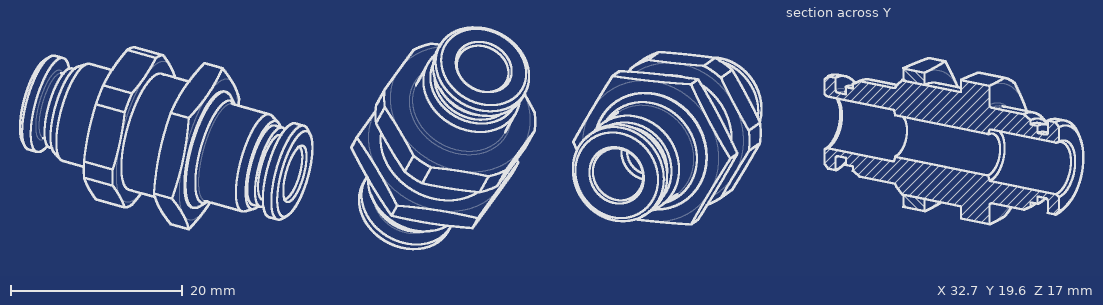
import cadquery as cq
import math

length = 32.7

across_flats = 17.0
hexagon_sides = 6
across_corners = across_flats / math.cos(math.pi / hexagon_sides)
corner_bevel_angle = 15.0
flange_start = 9.68
flange_width = 4.02
flange_corner_radius = 9.2
nut_start = 18.7
nut_width = 3.0

head_radius = 5.7
head_width = 1.6
head_chamfer = 0.52
groove_radius = 3.92
groove_fillet = 0.3
collar_start = 2.98
collar_radius = 4.8

barrel_start = 3.95
barrel_radius = 5.9
barrel_bevel_length = 0.98
barrel_bevel_angle = 30.0
barrel_bevel_depth = barrel_bevel_length * math.tan(math.radians(barrel_bevel_angle))
root_fillet = 0.3

middle_radius = 7.03
shoulder_end = 22.73
cone_depth = middle_radius - barrel_radius - root_fillet
cone_start = shoulder_end - cone_depth

bore_radius = 2.52
socket_radius = 3.15
socket_depth = 9.65
socket_floor_angle = 20.0
socket_floor_length = (socket_radius - bore_radius) * math.tan(math.radians(socket_floor_angle))
mouth_radius = 3.4
mouth_length = 0.43


def turn(outline):
    """Revolve a closed outline of axial and radial positions about the X axis."""
    return outline.close().revolve(360, (0, 0, 0), (1, 0, 0))


def mirror_to_right_end(body):
    return body.mirror("YZ").translate((length, 0, 0))


def make_hexagon(start, width, corner_radius):
    """Hexagonal prism along X, its corners turned to corner_radius and bevelled on both faces."""
    face_radius = across_flats / 2
    bevel_length = (corner_radius - face_radius) * math.tan(math.radians(corner_bevel_angle))
    end = start + width
    prism = cq.Workplane("YZ").workplane(offset=start).polygon(hexagon_sides, across_corners).extrude(width)
    bevelled_disc = turn(
        cq.Workplane("XY")
        .moveTo(start, 0)
        .lineTo(start, face_radius)
        .lineTo(start + bevel_length, corner_radius)
        .lineTo(end - bevel_length, corner_radius)
        .lineTo(end, face_radius)
        .lineTo(end, 0)
    )
    return prism.intersect(bevelled_disc)


def make_end():
    """Left end of the housing: head, groove, collar and bevelled start of the barrel."""
    bevel_end = barrel_start + barrel_bevel_length
    return turn(
        cq.Workplane("XY")
        .lineTo(0, head_radius - head_chamfer)
        .lineTo(head_chamfer, head_radius)
        .lineTo(head_width, head_radius)
        .lineTo(head_width, groove_radius + groove_fillet)
        .radiusArc((head_width + groove_fillet, groove_radius), -groove_fillet)
        .lineTo(collar_start, groove_radius)
        .lineTo(collar_start, collar_radius)
        .lineTo(barrel_start, collar_radius)
        .lineTo(barrel_start, barrel_radius - barrel_bevel_depth)
        .lineTo(bevel_end, barrel_radius)
        .lineTo(bevel_end, 0)
    )


def make_middle():
    """Barrels and thick middle between the two ends, filleted where each barrel meets a step."""
    left = barrel_start + barrel_bevel_length
    right = length - left
    root_radius = barrel_radius + root_fillet
    return turn(
        cq.Workplane("XY")
        .moveTo(left, 0)
        .lineTo(left, barrel_radius)
        .lineTo(flange_start - root_fillet, barrel_radius)
        .radiusArc((flange_start, root_radius), -root_fillet)
        .lineTo(flange_start, middle_radius)
        .lineTo(cone_start, middle_radius)
        .lineTo(shoulder_end, root_radius)
        .radiusArc((shoulder_end + root_fillet, barrel_radius), -root_fillet)
        .lineTo(right, barrel_radius)
        .lineTo(right, 0)
    )


def make_socket():
    """Tube socket cut into the left end: flared mouth, straight wall and conical floor."""
    return turn(
        cq.Workplane("XY")
        .lineTo(0, mouth_radius)
        .lineTo(mouth_length, socket_radius)
        .lineTo(socket_depth, socket_radius)
        .lineTo(socket_depth + socket_floor_length, bore_radius)
        .lineTo(socket_depth + socket_floor_length, 0)
    )


def make_housing():
    end = make_end()
    socket = make_socket()
    bore = cq.Workplane("YZ").circle(bore_radius).extrude(length)
    flange = make_hexagon(flange_start, flange_width, flange_corner_radius)
    solid = make_middle().union(end).union(mirror_to_right_end(end)).union(flange)
    return solid.cut(bore).cut(socket).cut(mirror_to_right_end(socket))


def make_locknut():
    """Hexagonal nut that fits around the thick middle of the housing."""
    blank = make_hexagon(nut_start, nut_width, across_corners / 2)
    hole = cq.Workplane("YZ").workplane(offset=nut_start).circle(middle_radius).extrude(nut_width)
    return blank.cut(hole)


housing = make_housing()
locknut = make_locknut()

result = cq.Compound.makeCompound([*housing.solids().vals(), *locknut.solids().vals()])